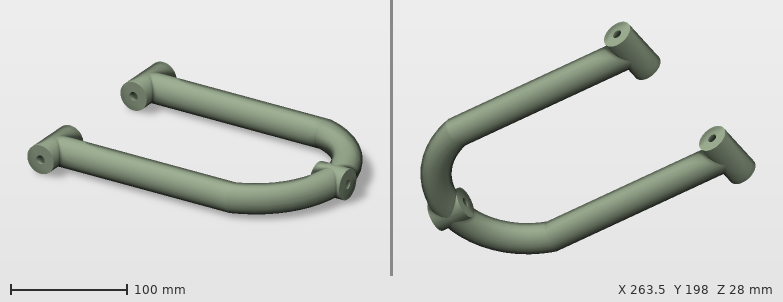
import cadquery as cq
import math

overall_length = 263.5
overall_width = 198.0

tube_diameter = 27.0
end_hub_length = 48.0
cross_hub_diameter = 28.0
cross_hub_length = 30.0
bore_diameter = 8.2

arm_length = 180.0
arm_offset = (overall_width - end_hub_length) / 2
cross_hub_end = overall_length - tube_diameter / 2
cross_hub_start = cross_hub_end - cross_hub_length
bend_crown = cross_hub_end - cross_hub_length / 2

bend_rise = bend_crown - arm_length
bend_radius = (bend_rise**2 + arm_offset**2) / (2 * bend_rise)
bend_cosine = arm_offset / bend_radius
bend_sine = (bend_radius - bend_rise) / bend_radius
bend_start_angle = math.degrees(math.asin(bend_sine))


def cylinder_along_x(diameter, start, length):
    return cq.Workplane("YZ", origin=(start, 0, 0)).circle(diameter / 2).extrude(length)


def cylinder_along_y(diameter, center, length):
    start = center + length / 2
    return cq.Workplane("XZ", origin=(0, start, 0)).circle(diameter / 2).extrude(length)


def bend():
    """Circular bend from one arm to the other, square-cut at both ends."""
    path = (
        cq.Workplane("XY")
        .moveTo(arm_length, arm_offset)
        .threePointArc((bend_crown, 0), (arm_length, -arm_offset))
    )
    end_plane = cq.Plane(
        origin=(arm_length, arm_offset, 0), xDir=(0, 0, 1), normal=(bend_cosine, -bend_sine, 0)
    )
    return cq.Workplane(end_plane).circle(tube_diameter / 2).sweep(path)


def mitre_wedge(side):
    """Fill the outside of the kink where the tubes, both run on straight, overlap."""
    arm_extension = cylinder_along_x(tube_diameter, arm_length, tube_diameter)
    arm_extension = arm_extension.translate((0, side * arm_offset, 0))
    bend_extension = (
        cylinder_along_x(tube_diameter, -tube_diameter, tube_diameter)
        .rotate((0, 0, 0), (0, 0, 1), -side * bend_start_angle)
        .translate((arm_length, side * arm_offset, 0))
    )
    return arm_extension.intersect(bend_extension)


body = bend()
for side in (1, -1):
    arm = cylinder_along_x(tube_diameter, 0, arm_length).translate((0, side * arm_offset, 0))
    body = body.union(arm).union(mitre_wedge(side))
    body = body.union(cylinder_along_y(tube_diameter, side * arm_offset, end_hub_length))
body = body.union(cylinder_along_x(cross_hub_diameter, cross_hub_start, cross_hub_length))

for side in (1, -1):
    body = body.cut(cylinder_along_y(bore_diameter, side * arm_offset, end_hub_length))
body = body.cut(cylinder_along_x(bore_diameter, cross_hub_start, cross_hub_length))

result = body